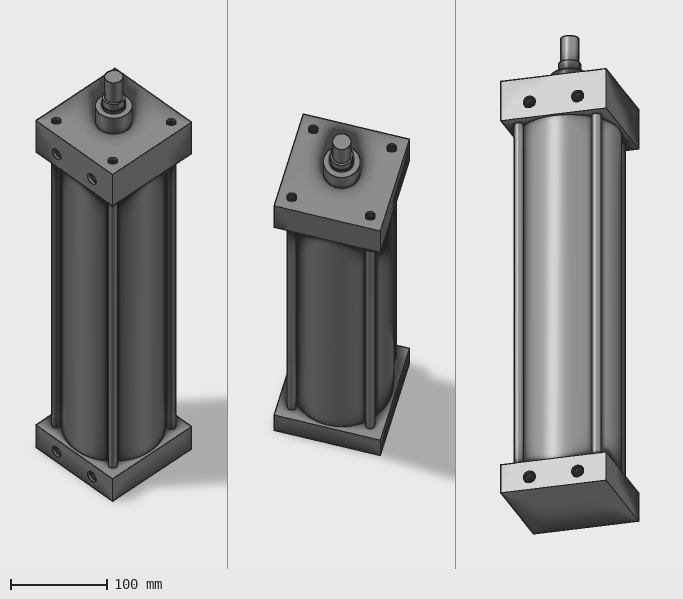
import cadquery as cq
import math

INCH = 25.4

block_side = 4.5 * INCH
rear_block_height = 1.25 * INCH
barrel_length = 15.25 * INCH
front_block_height = 1.75 * INCH
barrel_diameter = 4.25 * INCH
front_block_base = rear_block_height + barrel_length
front_block_top = front_block_base + front_block_height

tie_rod_diameter = 0.375 * INCH
tie_rod_spacing = 3.32 * INCH
nut_diameter = 0.6875 * INCH
nut_length = 0.75 * INCH
nut_thread = 0.4 * INCH
nut_drill = 0.34 * INCH
nut_hole_depth = 0.5 * INCH

retainer_diameter = 2.75 * INCH
retainer_thickness = 0.5 * INCH
pilot_diameter = 1.5 * INCH
pilot_height = 0.875 * INCH
pilot_top = front_block_top + pilot_height

mount_spacing = 2.0625 * INCH
mount_thread = 0.5 * INCH
mount_drill = 0.42 * INCH
mount_hole_depth = 0.75 * INCH
rear_mount_height = 0.5625 * INCH
front_mount_height = front_block_base + 0.6875 * INCH

tapped_mouth_depth = 0.15 * INCH
drill_point_angle = 118

rod_diameter = 0.98 * INCH
rod_length = 0.15 * INCH
neck_diameter = 0.9375 * INCH
neck_length = 0.35 * INCH
flat_width = 0.875 * INCH
stud_diameter = 0.75 * INCH
stud_length = 1.125 * INCH
shoulder_chamfer_width = (rod_diameter - neck_diameter) / 2
shoulder_chamfer_height = 1.0
neck_base = pilot_top + rod_length
neck_top = neck_base + neck_length


def cylinder(diameter, base, height):
    return cq.Workplane("XY").workplane(offset=base).circle(diameter / 2).extrude(height)


def end_block(base, height):
    return cq.Workplane("XY").workplane(offset=base).rect(block_side, block_side).extrude(height)


def tie_rod_points():
    half = tie_rod_spacing / 2
    return [(x, y) for x in (-half, half) for y in (-half, half)]


def at_tie_rods(diameter, base, height):
    plane = cq.Workplane("XY").workplane(offset=base)
    return plane.pushPoints(tie_rod_points()).circle(diameter / 2).extrude(height)


def tapped_hole(thread, drill, depth):
    """Cutter for a hole going down from the origin: wide mouth, narrower wall, drill point."""
    point = drill / 2 / math.tan(math.radians(drill_point_angle / 2))
    profile = cq.Workplane("XZ").polyline([
        (0, 0),
        (thread / 2, 0),
        (thread / 2, -tapped_mouth_depth),
        (drill / 2, -tapped_mouth_depth),
        (drill / 2, -depth),
        (0, -depth - point),
    ])
    return profile.close().revolve(360, (0, 0, 0), (0, 1, 0))


def make_housing():
    body = end_block(0, rear_block_height)
    body = body.union(cylinder(barrel_diameter, rear_block_height, barrel_length))
    body = body.union(at_tie_rods(tie_rod_diameter, rear_block_height, barrel_length))
    body = body.union(end_block(front_block_base, front_block_height))

    mount_hole = tapped_hole(mount_thread, mount_drill, mount_hole_depth)
    mount_hole = mount_hole.rotate((0, 0, 0), (1, 0, 0), 90)
    for z in (rear_mount_height, front_mount_height):
        for x in (-mount_spacing / 2, mount_spacing / 2):
            body = body.cut(mount_hole.translate((x, -block_side / 2, z)))

    flush_parts = [
        at_tie_rods(nut_diameter, front_block_top, -nut_length),
        cylinder(retainer_diameter, front_block_top, -retainer_thickness),
    ]
    for part in flush_parts:
        body = body.cut(part, clean=False).union(part, clean=False)

    body = body.union(cylinder(pilot_diameter, front_block_top, pilot_height), clean=False)

    nut_hole = tapped_hole(nut_thread, nut_drill, nut_hole_depth)
    for x, y in tie_rod_points():
        body = body.cut(nut_hole.translate((x, y, front_block_top)), clean=False)
    return body.solids()


def make_piston_rod():
    rod = cylinder(rod_diameter, pilot_top, rod_length)
    rod = rod.faces(">Z").chamfer(shoulder_chamfer_height, shoulder_chamfer_width)
    between_flats = cq.Workplane("XY").workplane(offset=neck_base)
    between_flats = between_flats.rect(flat_width, neck_diameter).extrude(neck_length)
    neck = cylinder(neck_diameter, neck_base, neck_length).intersect(between_flats)
    stud = cylinder(stud_diameter, neck_top, stud_length)
    return rod.union(neck).union(stud).solids()


housing = make_housing()
piston_rod = make_piston_rod()

result = cq.Compound.makeCompound([housing.val(), piston_rod.val()])